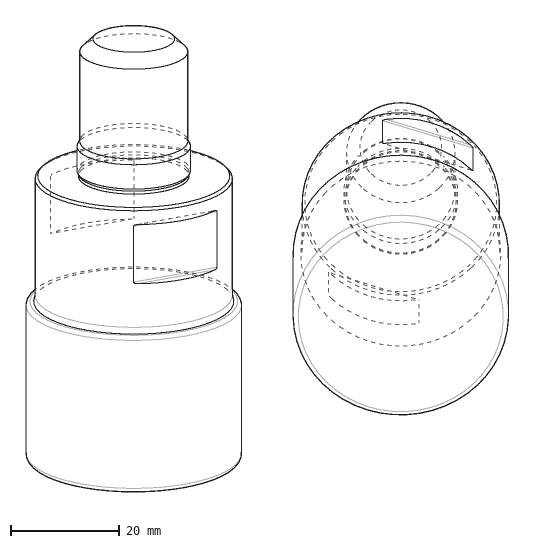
import cadquery as cq

total_height = 82.0

sleeve_radius = 39.85 / 2
sleeve_height = 30.7
sleeve_top_round = 0.7
sleeve_bottom_round = 1.0

body_radius = 36.5 / 2
body_top = 55.2
body_chamfer = 0.5
flare_radius = body_radius + 0.25
flare_top = 31.9

flat_distance = 32.0
flat_bottom = 40.4
flat_top = 52.0
flat_corner_round = 0.3

shank_radius = 20.0 / 2
shank_chamfer = 2.5
pilot_radius = 21.0 / 2
neck_radius = 20.5 / 2
neck_top = 55.8
pilot_bottom = 56.25
pilot_top = 61.0
shank_bottom = 62.0


def make_sleeve():
    """Solid round sleeve with rounded rims and a flat seat for the stem."""
    sleeve = cq.Workplane("XY").circle(sleeve_radius).extrude(sleeve_height)
    sleeve = sleeve.faces(">Z").edges().fillet(sleeve_top_round)
    return sleeve.faces("<Z").edges().fillet(sleeve_bottom_round)


def make_turned_stem():
    """Revolve the half section of the stem about Z."""
    section = [
        (0, sleeve_height),
        (flare_radius, sleeve_height),
        (body_radius, flare_top),
        (body_radius, body_top - body_chamfer),
        (body_radius - body_chamfer, body_top),
        (neck_radius, body_top),
        (neck_radius, neck_top),
        (pilot_radius, pilot_bottom),
        (pilot_radius, pilot_top),
        (shank_radius, shank_bottom),
        (shank_radius, total_height - shank_chamfer),
        (shank_radius - shank_chamfer, total_height),
        (0, total_height),
    ]
    return cq.Workplane("XZ").polyline(section).close().revolve(360, (0, 0, 0), (0, 1, 0))


def make_flat_cutter(side):
    """Block that mills one wrench flat; side is -1 or +1 along X."""
    block = cq.Workplane("XY").box(
        body_radius, 2 * body_radius, flat_top - flat_bottom
    )
    inner_face = "<X" if side > 0 else ">X"
    block = block.faces(inner_face).edges("|Y").fillet(flat_corner_round)
    center_x = side * (flat_distance + body_radius) / 2
    return block.translate((center_x, 0, (flat_bottom + flat_top) / 2))


def make_stem():
    """Turned stem with two opposite wrench flats."""
    stem = make_turned_stem()
    for side in (-1, 1):
        stem = stem.cut(make_flat_cutter(side))
    return stem


sleeve = make_sleeve()
stem = make_stem()

result = cq.Compound.makeCompound([sleeve.val(), stem.val()])